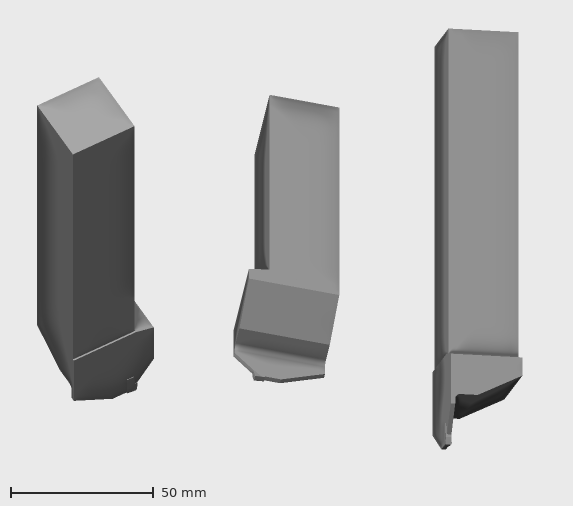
import cadquery as cq
import math

shank_side = 25.0
top_z = 151.35

head_depth = 32.4
head_top_z = 33.1
head_shoulder_angle = 15.0
shoulder_fillet_radius = 0.6
shoulder_drop = (head_depth - shank_side) * math.tan(math.radians(head_shoulder_angle))

blade_left_x = 24.05
blade_right_x = 25.65
blade_bottom_z = 0.8
blade_front_z = 13.0
blade_front_angle = 54.0
blade_back_z = 9.9
blade_back_angle = 30.0
blade_front_run = (blade_front_z - blade_bottom_z) / math.tan(math.radians(blade_front_angle))
blade_back_run = (blade_back_z - blade_bottom_z) / math.tan(math.radians(blade_back_angle))

relief_start_z = 24.5
relief_flat_z = 16.6
relief_flat_x = 16.0
blade_root_radius = 1.8

insert_back_y = 21.5
insert_top_z = 8.1
insert_top_front_y = 24.2
seat_front_y = 24.75
seat_front_z = 4.0
nose_y = 25.6
nose_top_z = 3.8
nose_bottom_z = 2.6
cutting_edge_y = 25.1
insert_heel_z = 0.4
cutting_width = 2.25
insert_right_x = 26.1
corner_radius = 0.3
insert_center_x = insert_right_x - cutting_width / 2
insert_body_width = 2 * (insert_center_x - blade_left_x)
flank_start_y = 23.2
flank_start_z = 0.9
flank_line_angle = 51.0

clearance = 10.0


def extrude_yz(points, x_start, x_end):
    """Extrude a closed outline of (y, z) points from x_start to x_end."""
    return cq.Workplane("YZ").workplane(offset=x_start).polyline(points).close().extrude(x_end - x_start)


def make_insert_prism(x_start, x_end):
    """Side outline of the insert, extruded along X."""
    outline = [
        (insert_back_y, insert_heel_z),
        (insert_back_y, insert_top_z),
        (insert_top_front_y, insert_top_z),
        (seat_front_y, seat_front_z),
        (nose_y, nose_top_z),
        (nose_y, nose_bottom_z),
        (cutting_edge_y, 0),
    ]
    return extrude_yz(outline, x_start, x_end)


def make_relief():
    """Region removed on the -X side, bounded by a slope, a flat and a rounded blade root."""
    return (
        cq.Workplane("XZ")
        .moveTo(-clearance, -clearance)
        .lineTo(-clearance, relief_start_z)
        .lineTo(0, relief_start_z)
        .lineTo(relief_flat_x, relief_flat_z)
        .lineTo(blade_left_x - blade_root_radius, relief_flat_z)
        .radiusArc((blade_left_x, relief_flat_z - blade_root_radius), blade_root_radius)
        .lineTo(blade_left_x, -clearance)
        .close()
        .extrude(-(head_depth + clearance))
    )


def make_holder():
    """Shank and head in one piece, with the insert seat cut through the blade."""
    outline = [
        (0, top_z),
        (shank_side, top_z),
        (shank_side, head_top_z),
        (head_depth, head_top_z - shoulder_drop),
        (head_depth, blade_front_z),
        (head_depth - blade_front_run, blade_bottom_z),
        (blade_back_run, blade_bottom_z),
        (0, blade_back_z),
    ]
    shoulder_corner = cq.selectors.NearestToPointSelector((blade_right_x / 2, shank_side, head_top_z))
    body = extrude_yz(outline, 0, blade_right_x).edges(shoulder_corner).fillet(shoulder_fillet_radius)

    side_step = cq.Workplane("XY").box(
        clearance, head_depth + clearance, top_z, centered=False
    ).translate((shank_side, -clearance / 2, head_top_z))
    seat = make_insert_prism(blade_left_x - clearance, blade_right_x + clearance)
    return body.cut(side_step).cut(make_relief()).cut(seat)


def make_rounded_bar():
    """Bar along the underside of the insert that rounds the two corners of its cutting edge."""
    underside_plane = cq.Plane(
        origin=(insert_center_x, cutting_edge_y, 0),
        xDir=(1, 0, 0),
        normal=(0, cutting_edge_y - insert_back_y, -insert_heel_z),
    )
    half_cut = cutting_width / 2
    return (
        cq.Workplane(underside_plane)
        .moveTo(-half_cut, -clearance)
        .lineTo(-half_cut, -corner_radius)
        .radiusArc((-half_cut + corner_radius, 0), corner_radius)
        .lineTo(half_cut - corner_radius, 0)
        .radiusArc((half_cut, -corner_radius), corner_radius)
        .lineTo(half_cut, -clearance)
        .close()
        .extrude(clearance, both=True)
    )


def make_insert():
    """Insert with parallel sides that flare out along oblique flanks to the cutting edge."""
    line_y = math.cos(math.radians(flank_line_angle))
    line_z = math.sin(math.radians(flank_line_angle))
    flare_length = (cutting_edge_y - flank_start_y) * line_z + flank_start_z * line_y
    half_body = insert_body_width / 2
    half_cut = cutting_width / 2
    flank_plane = cq.Plane(
        origin=(insert_center_x, flank_start_y, flank_start_z),
        xDir=(1, 0, 0),
        normal=(0, line_y, line_z),
    )
    envelope = (
        cq.Workplane(flank_plane)
        .moveTo(-half_body, -clearance)
        .lineTo(-half_body, 0)
        .lineTo(-half_cut, flare_length - corner_radius)
        .lineTo(-half_cut, flare_length)
        .lineTo(half_cut, flare_length)
        .lineTo(half_cut, flare_length - corner_radius)
        .lineTo(half_body, 0)
        .lineTo(half_body, -clearance)
        .close()
        .extrude(clearance, both=True)
    )
    prism = make_insert_prism(insert_center_x - half_cut, insert_center_x + half_cut)
    return prism.intersect(envelope).intersect(make_rounded_bar())


holder = make_holder()
insert = make_insert()

result = cq.Compound.makeCompound([holder.val(), insert.val()])